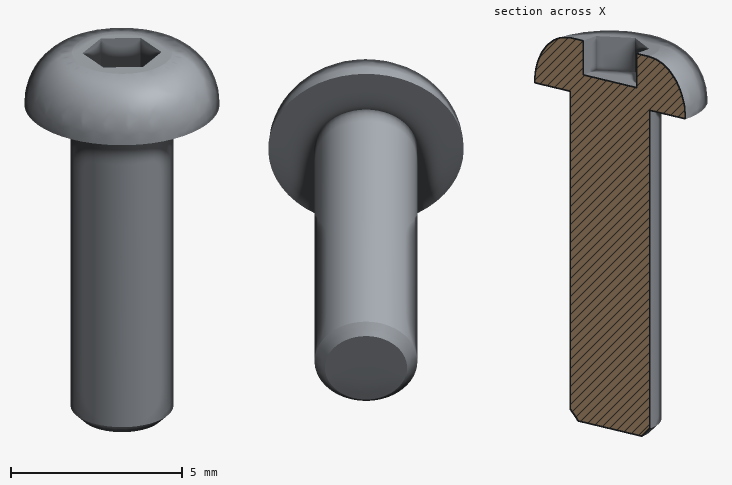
import cadquery as cq
import math

HEAD_DIAMETER = 5.7
HEAD_HEIGHT = 1.65
HEAD_FLAT_DIAMETER = 2.92

SHANK_DIAMETER = 3.0
SHANK_LENGTH = 10.0
TIP_CHAMFER = 0.3

SOCKET_ACROSS_FLATS = 2.0
SOCKET_DEPTH = 1.04


def make_head():
    """Domed head: a quarter ellipse, vertical at the rim, blends into the flat top."""
    rim_radius = HEAD_DIAMETER / 2
    dome_width = rim_radius - HEAD_FLAT_DIAMETER / 2

    profile = (
        cq.Workplane("XZ")
        .moveTo(0, 0)
        .lineTo(rim_radius, 0)
        .ellipseArc(dome_width, HEAD_HEIGHT, 0, 90)
        .lineTo(0, HEAD_HEIGHT)
        .close()
    )
    return profile.revolve(360, (0, 0), (0, 1))


def make_shank():
    """Plain shank below the head with a chamfered tip."""
    shank = cq.Workplane("XY").circle(SHANK_DIAMETER / 2).extrude(-SHANK_LENGTH)
    return shank.faces("<Z").chamfer(TIP_CHAMFER)


def make_socket():
    """Hexagonal drive recess with two of its corners on the X axis."""
    across_corners = SOCKET_ACROSS_FLATS / math.cos(math.pi / 6)
    return (
        cq.Workplane("XY")
        .workplane(offset=HEAD_HEIGHT)
        .polygon(6, across_corners)
        .extrude(-SOCKET_DEPTH)
    )


result = make_head().union(make_shank()).cut(make_socket())